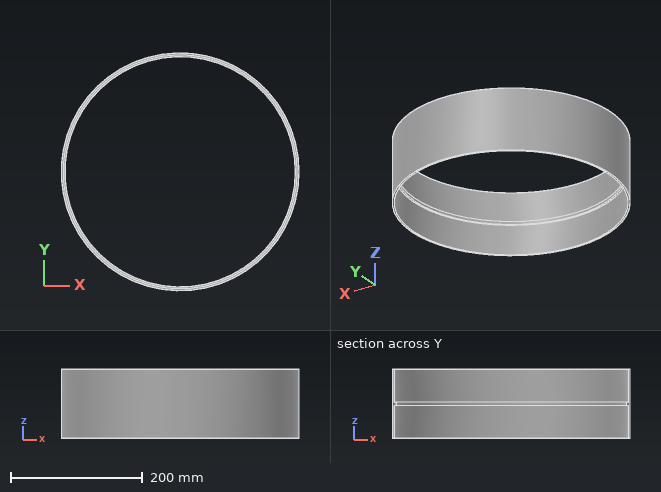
import cadquery as cq

outer_diameter = 361.0
bore_diameter = 355.0
rib_diameter = 349.0
height = 105.0
rib_height = 5.0


def ring(outer, inner, length):
    """Plain ring standing on the XY plane."""
    return cq.Workplane("XY").circle(outer / 2).circle(inner / 2).extrude(length)


wall = ring(outer_diameter, bore_diameter, height)

rib_base = (height - rib_height) / 2
rib = ring(outer_diameter, rib_diameter, rib_height).translate((0, 0, rib_base))

result = wall.union(rib)